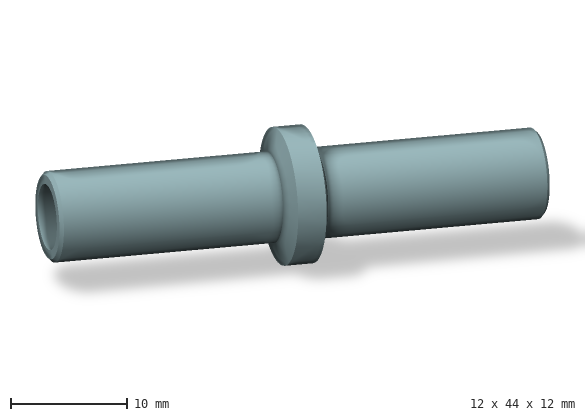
import cadquery as cq

length = 44.0
tube_diameter = 7.9
bore_diameter = 5.7
end_chamfer = 0.3

collar_diameter = 12.0
collar_width = 4.05
rim_width = 2.55


def make_tube():
    """Solid rod with chamfered outer end edges."""
    rod = cq.Workplane("XZ").circle(tube_diameter / 2).extrude(length / 2, both=True)
    return rod.faces("<Y or >Y").edges().chamfer(end_chamfer)


def make_collar():
    """Collar revolved about Y, tapering from the rim down to the tube."""
    tube_radius = tube_diameter / 2
    collar_radius = collar_diameter / 2
    profile = [
        (0, -collar_width / 2),
        (tube_radius, -collar_width / 2),
        (collar_radius, -rim_width / 2),
        (collar_radius, rim_width / 2),
        (tube_radius, collar_width / 2),
        (0, collar_width / 2),
    ]
    return cq.Workplane("XY").polyline(profile).close().revolve(360, (0, 0, 0), (0, 1, 0))


bore = cq.Workplane("XZ").circle(bore_diameter / 2).extrude(length / 2, both=True)

result = make_tube().union(make_collar()).cut(bore)